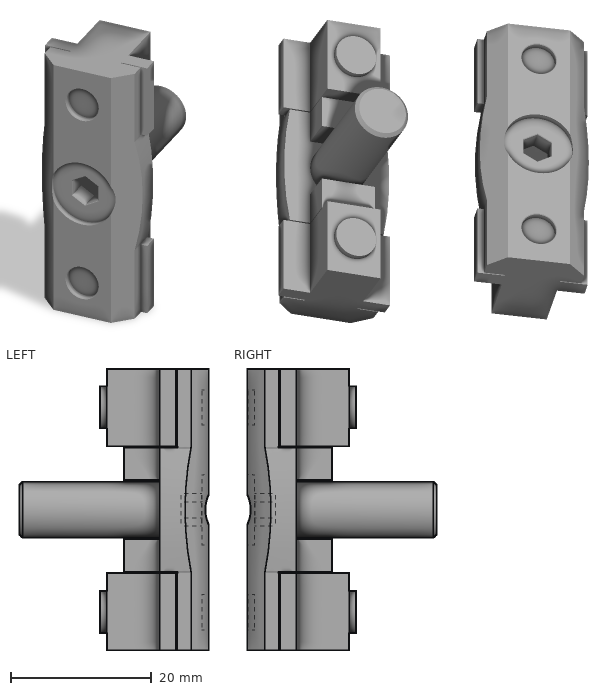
import cadquery as cq
import math

length = 40.0
bar_width = 14.1
bar_depth = 4.5
bevel = 2.55

core_width = 8.0
block_length = 11.0
block_back = 14.5
flange_width = 16.0
flange_front = 4.7
flange_back = 7.0

middle_length = 17.65
middle_back = flange_back
bulge_width = 15.8
lug_back = 12.1
lug_gap = 8.4

bolt_diameter = 8.0
bolt_end = 27.0
bolt_chamfer = 0.5
head_diameter = 10.0
head_recess = 1.0
hex_sides = 6
hex_flats = 4.0
hex_depth = 3.0
hex_turn = 30

pin_spacing = 29.1
pin_hole_diameter = 5.0
pin_hole_depth = 1.0
pin_diameter = 6.0
pin_end = 15.5

edge_break = 0.1
lead_in_angle = 45

cut_margin = 1.0


def box(width, y_front, y_back, height, z_center=0.0):
    """Block centred on X, spanning two depths along Y."""
    depth = y_back - y_front
    return cq.Workplane("XY").box(width, depth, height).translate((0, y_front + depth / 2, z_center))


def plane_at(y, z_center=0.0):
    """Sketch plane at depth y whose normal points along +Y."""
    return cq.Workplane(cq.Plane(origin=(0, y, z_center), xDir=(1, 0, 0), normal=(0, 1, 0)))


def cylinder(diameter, y_front, y_back, z_center=0.0):
    return plane_at(y_front, z_center).circle(diameter / 2).extrude(y_back - y_front)


def beveled_prism(half_width, y_back, height):
    """Prism along Z whose 45 degree bevels all start from the same front flat."""
    flat = bar_width / 2 - bevel
    outline = [
        (-flat, 0),
        (flat, 0),
        (half_width, half_width - flat),
        (half_width, y_back),
        (-half_width, y_back),
        (-half_width, half_width - flat),
    ]
    return cq.Workplane("XY").polyline(outline).close().extrude(height / 2, both=True)


def middle_section():
    """Bulged body: both sides are arcs that meet the bar width at the section ends."""
    side = bar_width / 2
    crest = bulge_width / 2
    end = middle_length / 2
    bulge = (
        plane_at(0)
        .moveTo(-side, -end)
        .lineTo(side, -end)
        .threePointArc((crest, 0), (side, end))
        .lineTo(-side, end)
        .threePointArc((-crest, 0), (-side, -end))
        .close()
        .extrude(middle_back)
    )
    body = bulge.intersect(beveled_prism(crest, middle_back, middle_length))
    lugs = box(core_width, bar_depth, lug_back, middle_length)
    return body.union(lugs.cut(box(flange_width, middle_back, lug_back + cut_margin, lug_gap)))


def end_block(side):
    """Core, flange and pin of one end block; side is -1 or 1."""
    z_center = side * (length - block_length) / 2
    core = box(core_width, 0, block_back, block_length, z_center)
    flange = box(flange_width, flange_front, flange_back, block_length, z_center)
    pin = cylinder(pin_diameter, 0, pin_end, side * pin_spacing / 2)
    return core.union(flange).union(pin)


def bolt():
    shank = cylinder(bolt_diameter, bar_depth, bolt_end)
    return shank.faces(">Y").chamfer(bolt_chamfer)


def hexagon(y, flats):
    """Hexagon sketch with two corners pointing along Z."""
    corner_diameter = flats / math.cos(math.pi / hex_sides)
    return plane_at(y).transformed(rotate=(0, 0, hex_turn)).polygon(hex_sides, corner_diameter)


def hex_socket():
    bore = hexagon(head_recess, hex_flats).extrude(hex_depth)
    lead_in = hexagon(head_recess, hex_flats + 2 * edge_break).extrude(edge_break, taper=lead_in_angle)
    return bore.union(lead_in)


def pin_hole(z_center):
    bore = cylinder(pin_hole_diameter, 0, pin_hole_depth, z_center)
    mouth_radius = pin_hole_diameter / 2 + edge_break
    lead_in = plane_at(0, z_center).circle(mouth_radius).extrude(edge_break, taper=lead_in_angle)
    return bore.union(lead_in)


def front_cuts():
    """Head recess with hexagon socket, and the two pin holes."""
    cuts = cylinder(head_diameter, 0, head_recess).union(hex_socket())
    for side in (-1, 1):
        cuts = cuts.union(pin_hole(side * pin_spacing / 2))
    return cuts


result = beveled_prism(bar_width / 2, bar_depth, length)
result = result.union(middle_section())
for end_side in (-1, 1):
    result = result.union(end_block(end_side))
result = result.union(bolt()).cut(front_cuts())